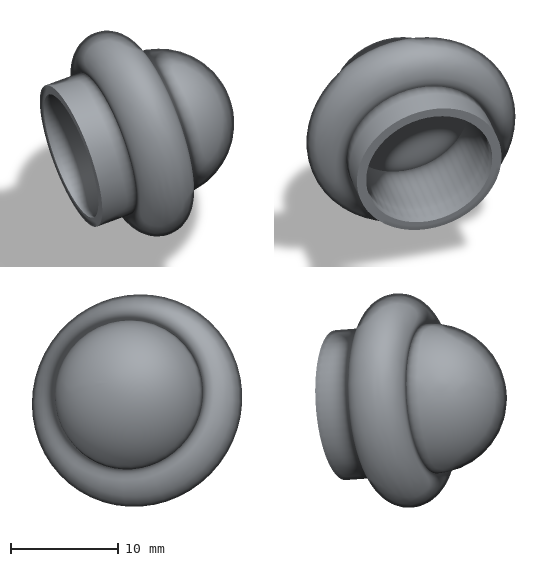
import cadquery as cq

spigot_diameter = 14.0
bore_diameter = 12.2
collar_diameter = 20.0
collar_width = 5.5
spigot_length = 3.5
bore_depth = 8.0

dome_radius = spigot_diameter / 2
collar_radius = collar_diameter / 2
collar_round_radius = collar_width / 2
collar_flat_radius = collar_radius - collar_round_radius

collar_front = spigot_length
collar_middle = collar_front + collar_round_radius
collar_back = collar_front + collar_width
dome_tip = collar_back + dome_radius


def make_body():
    """Revolve the half profile of spigot, collar and dome about the Y axis."""
    dome_middle = cq.Vector(0, collar_back) + cq.Vector(1, 1).normalized() * dome_radius
    profile = (
        cq.Workplane("XY")
        .lineTo(dome_radius, 0)
        .lineTo(dome_radius, collar_front)
        .lineTo(collar_flat_radius, collar_front)
        .threePointArc((collar_radius, collar_middle), (collar_flat_radius, collar_back))
        .lineTo(dome_radius, collar_back)
        .threePointArc((dome_middle.x, dome_middle.y), (0, dome_tip))
        .close()
    )
    return profile.revolve(360, (0, 0), (0, 1))


def make_bore():
    """Flat-bottomed blind bore entering from the open end of the spigot."""
    return cq.Workplane("XZ").circle(bore_diameter / 2).extrude(-bore_depth)


result = make_body().cut(make_bore())